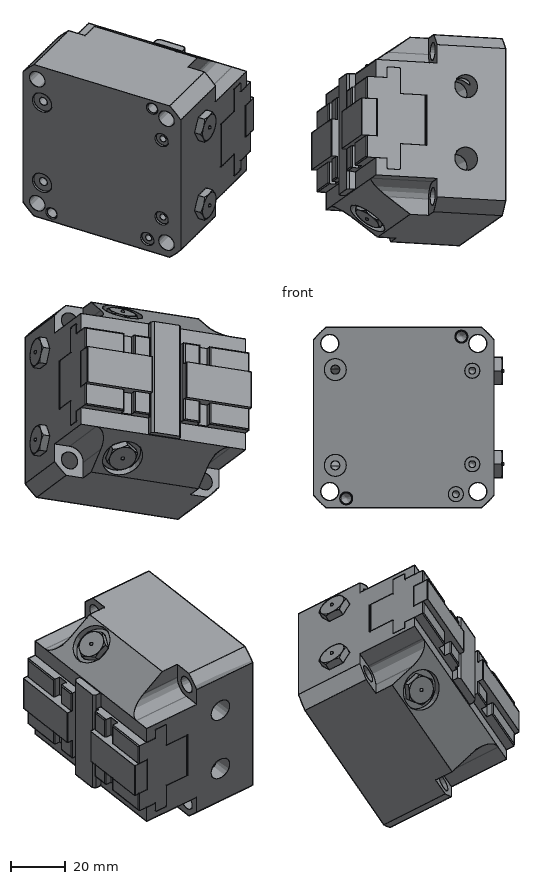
import cadquery as cq
import math


WIDTH = 66.0
HALF = WIDTH / 2
CORNER_RADIUS = 43.5
BASE_DEPTH = 26.0
SLOPE_START = 33.0
FRONT_Y = 49.3
FRONT_HALF_HEIGHT = 21.5
RECESS_WIDTH = 11.5
RECESS_RADIUS = 5.4

DRILL_POINT_ANGLE = 118.0
MOUNT_HOLE_DIA = 6.5
MOUNT_HOLE_OFFSET = 27.0
DOWEL_DIA = 4.0
DOWEL_MOUTH_DIA = 4.7
DOWEL_DEPTH = 8.0
DOWEL_X = 21.0
DOWEL_Z = 29.5
SEAT_DEPTH = 1.0
AIR_SEAT_DIA = 8.0
AIR_HOLE_DIA = 3.3
AIR_X = -25.0
AIR_Z = 17.5
PURGE_SEAT_DIA = 5.5
PURGE_HOLE_DIA = 2.5
PURGE_DEPTH = 8.0
PURGE_POINTS = [(25.0, 17.05), (25.0, -17.05), (19.0, -28.0)]

PORT_DIA = 8.55
PORT_DEPTH = 13.9
PORT_Y = 15.0
PORT_Z = 13.5

HEX_FLATS = 10.0
HEX_HEIGHT = 3.0
HEX_CHAMFER_DROP = 0.4
NUB_DIA = 1.25
PLUG_HEIGHT = 3.6
SIDE_PLUG_Y = 16.0
SIDE_PLUG_Z = 17.0
POCKET_DIA = 15.0
POCKET_DEPTH = 2.85
POCKET_X = 11.9
POCKET_Y = 39.6

JAW_INNER_X = 6.75
JAW_FLOOR_Y = 30.0
JAW_STEM_HALF = 9.3
JAW_FLANGE_HALF = 19.0
JAW_NECK_HALF = 15.0
FLANGE_BACK_Y = 40.0
FLANGE_FRONT_Y = 45.0
JAW_FRONT_Y = 52.9
JAW_END_SETBACK = 0.1
JAW_FLANGE_CHAMFER = 0.35
JAW_FLOOR_CHAMFER = 0.6
JAW_FRONT_CHAMFER = 0.4
TOE_FRONT_Y = 51.0
CROSS_SLOT_X = 15.2
CROSS_SLOT_WIDTH = 4.0
CROSS_SLOT_Y = 50.25
KEY_HALF_HEIGHT = 6.9
KEY_FRONT_Y = 54.8
KEY_BACK_Y = 48.7
KEY_CHAMFER = 0.3

COVER_HALF_WIDTH = 6.0
COVER_FRONT_Y = 52.5
COVER_CHAMFER = 1.0
COVER_EDGE_CHAMFER = 0.3

SLOPE_RUN = FRONT_Y - SLOPE_START
SLOPE_DROP = HALF - FRONT_HALF_HEIGHT
POCKET_Z = HALF - SLOPE_DROP * (POCKET_Y - SLOPE_START) / SLOPE_RUN


def drill(start, direction, diameter, depth):
    """Blind drilled hole: a cylinder with a conical end, as a cutting solid."""
    radius = diameter / 2
    tip = radius / math.tan(math.radians(DRILL_POINT_ANGLE / 2))
    profile = [(0, 0), (radius, 0), (radius, depth), (0, depth + tip)]
    tool = cq.Workplane("XY").polyline(profile).close().revolve(360, (0, 0), (0, 1)).val()
    plane = cq.Plane(origin=start, normal=direction)
    return tool.rotate(cq.Vector(0, 0, 0), cq.Vector(1, 0, 0), 90).moved(cq.Location(plane))


def bore(x, z, diameter, depth):
    """Flat-bottomed hole in the mounting face."""
    return cq.Solid.makeCylinder(diameter / 2, depth, cq.Vector(x, 0, z), cq.Vector(0, 1, 0))


def box(x_range, y_range, z_range):
    """Axis-aligned box from its limits."""
    size = [high - low for low, high in (x_range, y_range, z_range)]
    corner = cq.Vector(x_range[0], y_range[0], z_range[0])
    return cq.Workplane(cq.Solid.makeBox(*size, corner))


def housing_block():
    """Sloped block with its long corners trimmed by one large cylinder."""
    side = [
        (0, -HALF),
        (SLOPE_START, -HALF),
        (FRONT_Y, -FRONT_HALF_HEIGHT),
        (FRONT_Y, FRONT_HALF_HEIGHT),
        (SLOPE_START, HALF),
        (0, HALF),
    ]
    block = cq.Workplane("YZ").polyline(side).close().extrude(HALF, both=True)
    trim = bore(0, 0, 2 * CORNER_RADIUS, FRONT_Y)
    return block.intersect(cq.Workplane(trim))


def corner_recesses():
    """Four filleted recesses in front of the full-section base."""
    inner_x = HALF - RECESS_WIDTH
    outline = (
        cq.Workplane("XZ", origin=(0, BASE_DEPTH, 0))
        .moveTo(HALF, FRONT_HALF_HEIGHT)
        .lineTo(inner_x + RECESS_RADIUS, FRONT_HALF_HEIGHT)
        .radiusArc((inner_x, FRONT_HALF_HEIGHT + RECESS_RADIUS), RECESS_RADIUS)
        .lineTo(inner_x, HALF)
        .lineTo(HALF, HALF)
        .close()
    )
    right_top = outline.extrude(BASE_DEPTH - FRONT_Y)
    top = right_top.union(right_top.mirror("YZ"))
    return top.union(top.mirror("XY"))


def mounting_face_holes():
    """Mounting, dowel, air and purge holes that open on the mounting face."""
    into = (0, 1, 0)
    tools = []
    for sx in (-1, 1):
        for sz in (-1, 1):
            tools.append(bore(sx * MOUNT_HOLE_OFFSET, sz * MOUNT_HOLE_OFFSET, MOUNT_HOLE_DIA, FRONT_Y))
    for side in (-1, 1):
        x, z = side * DOWEL_X, side * DOWEL_Z
        tools.append(drill((x, 0, z), into, DOWEL_DIA, DOWEL_DEPTH))
        mouth = (DOWEL_MOUTH_DIA - DOWEL_DIA) / 2
        start = cq.Vector(x, 0, z)
        tools.append(cq.Solid.makeCone(DOWEL_MOUTH_DIA / 2, DOWEL_DIA / 2, mouth, start, cq.Vector(*into)))
        tools.append(bore(AIR_X, side * AIR_Z, AIR_SEAT_DIA, SEAT_DEPTH))
        tools.append(drill((AIR_X, 0, side * AIR_Z), into, AIR_HOLE_DIA, PORT_Y))
    for x, z in PURGE_POINTS:
        tools.append(bore(x, z, PURGE_SEAT_DIA, SEAT_DEPTH))
        tools.append(drill((x, 0, z), into, PURGE_HOLE_DIA, PURGE_DEPTH))
    return tools


def side_ports():
    """Two drilled ports in the -X side."""
    return [drill((-HALF, PORT_Y, side * PORT_Z), (1, 0, 0), PORT_DIA, PORT_DEPTH) for side in (-1, 1)]


def slope_plane(side, depth):
    """Plane parallel to the top (+1) or bottom (-1) slope at the pocket centre, sunk by depth."""
    normal = cq.Vector(0, SLOPE_DROP, side * SLOPE_RUN).normalized()
    origin = cq.Vector(POCKET_X, POCKET_Y, side * POCKET_Z) - normal * depth
    return cq.Plane(origin=origin, xDir=(1, 0, 0), normal=normal)


def slope_pockets():
    """Round pockets in the two slopes that hold plugs."""
    return [
        cq.Workplane(slope_plane(side, POCKET_DEPTH)).circle(POCKET_DIA / 2).extrude(2 * POCKET_DEPTH).val()
        for side in (-1, 1)
    ]


def make_housing():
    """Housing with its recesses, holes, ports, plug pockets and jaw slots."""
    body = housing_block().cut(corner_recesses())
    for tool in mounting_face_holes() + side_ports() + slope_pockets():
        body = body.cut(cq.Workplane(tool))
    for side in (-1, 1):
        body = body.cut(jaw_slot(side))
    return body


def jaw_profile():
    """Cross-section of the stem, flange and neck, as (Y, Z) points."""
    upper = [
        (JAW_FLOOR_Y, JAW_STEM_HALF),
        (FLANGE_BACK_Y, JAW_STEM_HALF),
        (FLANGE_BACK_Y, JAW_FLANGE_HALF - JAW_FLANGE_CHAMFER),
        (FLANGE_BACK_Y + JAW_FLANGE_CHAMFER, JAW_FLANGE_HALF),
        (FLANGE_FRONT_Y - JAW_FLANGE_CHAMFER, JAW_FLANGE_HALF),
        (FLANGE_FRONT_Y, JAW_FLANGE_HALF - JAW_FLANGE_CHAMFER),
        (FLANGE_FRONT_Y, JAW_NECK_HALF),
        (JAW_FRONT_Y, JAW_NECK_HALF),
    ]
    return upper + [(y, -z) for y, z in reversed(upper)]


def jaw_prism(outer_x):
    """Prism of the jaw section on the -X half, from the cover to outer_x."""
    length = outer_x - COVER_HALF_WIDTH
    return cq.Workplane("YZ", origin=(-outer_x, 0, 0)).polyline(jaw_profile()).close().extrude(length)


def to_side(body, side):
    """Keep a -X body for side -1 and mirror it to +X for side +1."""
    return body if side < 0 else body.mirror("YZ")


def jaw_slot(side):
    """Slot in the housing that one jaw fills, open at the housing side."""
    return to_side(jaw_prism(HALF), side)


def make_jaw(side):
    """One jaw with its cross slot, low toe beside the cover and raised key.

    The key's chamfered ends leave a small V notch at the end of the groove it stands in.
    """
    all_z = (-HALF, HALF)
    body = jaw_prism(HALF - JAW_END_SETBACK)
    body = body.faces("<Y").edges("<X").chamfer(JAW_FLOOR_CHAMFER)
    body = body.cut(box((-JAW_INNER_X, 0), (TOE_FRONT_Y, KEY_FRONT_Y), all_z))
    slot_start = -CROSS_SLOT_X - CROSS_SLOT_WIDTH / 2
    body = body.cut(box((slot_start, slot_start + CROSS_SLOT_WIDTH), (CROSS_SLOT_Y, KEY_FRONT_Y), all_z))
    body = body.faces(">Y").chamfer(JAW_FRONT_CHAMFER)
    groove = box((-HALF, -JAW_INNER_X), (KEY_BACK_Y, KEY_FRONT_Y), (-KEY_HALF_HEIGHT, KEY_HALF_HEIGHT))
    body = body.cut(groove)
    key = groove.faces("<X or >X").edges("|Z").chamfer(KEY_CHAMFER)
    return to_side(body.union(key), side)


def make_cover():
    """Plate between the jaws on the housing front."""
    plate = box(
        (-COVER_HALF_WIDTH, COVER_HALF_WIDTH),
        (FRONT_Y, COVER_FRONT_Y),
        (-FRONT_HALF_HEIGHT, FRONT_HALF_HEIGHT),
    )
    plate = plate.faces(">Y").edges("|Z").chamfer(COVER_CHAMFER)
    return plate.faces("<Y").edges("|X").chamfer(COVER_EDGE_CHAMFER)


def make_plug(plane):
    """Hexagonal plug with chamfered corners and a round nub, standing on a plane."""
    corner_dia = HEX_FLATS / math.cos(math.pi / 6)
    hexagon = cq.Workplane("XY").polygon(6, corner_dia).extrude(HEX_HEIGHT)
    hexagon = hexagon.rotate((0, 0, 0), (0, 0, 1), 90)
    corner = corner_dia / 2
    profile = [
        (0, 0),
        (corner, 0),
        (corner, HEX_HEIGHT - HEX_CHAMFER_DROP),
        (HEX_FLATS / 2, HEX_HEIGHT),
        (0, HEX_HEIGHT),
    ]
    turned = cq.Workplane("XZ").polyline(profile).close().revolve(360, (0, 0), (0, 1))
    nub = cq.Workplane("XY").sphere(NUB_DIA / 2).translate((0, 0, PLUG_HEIGHT - NUB_DIA / 2))
    plug = hexagon.intersect(turned).union(nub)
    return plug.val().moved(cq.Location(plane))


def make_plugs():
    """Two plugs in the slope pockets and two on the +X side."""
    planes = [slope_plane(side, POCKET_DEPTH) for side in (-1, 1)]
    for side in (-1, 1):
        origin = (HALF, SIDE_PLUG_Y, side * SIDE_PLUG_Z)
        planes.append(cq.Plane(origin=origin, xDir=(0, 0, 1), normal=(1, 0, 0)))
    return [make_plug(plane) for plane in planes]


jaws = [make_jaw(side) for side in (-1, 1)]
housing = make_housing()
cover = make_cover()
plugs = make_plugs()
result = cq.Compound.makeCompound([housing.val(), *[jaw.val() for jaw in jaws], cover.val(), *plugs])